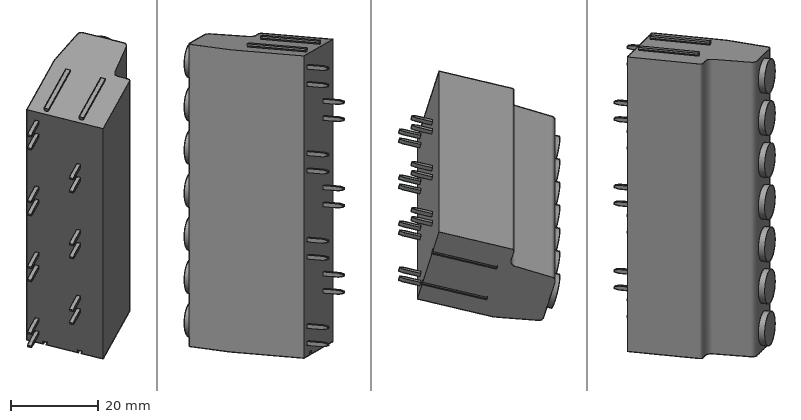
import cadquery as cq

module_count = 7
housing_width = 18.7
housing_depth = 29.25
housing_height = 71.1
module_pitch = housing_height / module_count

shoulder_y = 18.1
shelf_y = 18.0
top_left_x = 2.0
top_right_x = 13.8
step_x = 14.5
top_radius = 1.15
step_radius = 1.4
shelf_radius = 0.6

screw_diameter = 8.05
screw_height = 1.5
screw_x = 7.5

pin_size = 0.9
left_pin_length = 5.0
right_pin_length = 4.9
pin_tip_length = 1.1
pin_tip_height = 0.4
pin_spacing = 4.0
left_pin_x = 2.5
right_pin_x = 12.7

rib_height = 0.8
rib_width = 1.15
rib_neck_width = 0.6
rib_taper_height = 0.35
rib_start_y = 1.1
rib_end_y = 15.4
rib_xs = (4.4, 12.95)


def module_center_z(index):
    """Mid-height of one module, counted from the bottom."""
    return (index + 0.5) * module_pitch


def make_housing():
    outline = cq.Workplane("XY").polyline([
        (0, 0),
        (housing_width, 0),
        (housing_width, shelf_y),
        (step_x, shelf_y),
        (top_right_x, housing_depth),
        (top_left_x, housing_depth),
        (0, shoulder_y),
    ]).close()
    body = outline.extrude(housing_height)

    def round_corner(solid, x, y, radius):
        corner = cq.selectors.NearestToPointSelector((x, y, housing_height / 2))
        return solid.edges("|Z").edges(corner).fillet(radius)

    body = round_corner(body, top_left_x, housing_depth, top_radius)
    body = round_corner(body, top_right_x, housing_depth, top_radius)
    body = round_corner(body, step_x, shelf_y, step_radius)
    return round_corner(body, housing_width, shelf_y, shelf_radius)


def make_dovetail(x, base_z, start_y, end_y):
    """Dovetail bar along Y that widens upward from a narrow neck at base_z."""
    shoulder_z = base_z + rib_taper_height
    crest_z = base_z + rib_height
    profile = cq.Workplane("XZ", origin=(0, start_y, 0)).polyline([
        (x - rib_neck_width / 2, base_z),
        (x + rib_neck_width / 2, base_z),
        (x + rib_width / 2, shoulder_z),
        (x + rib_width / 2, crest_z),
        (x - rib_width / 2, crest_z),
        (x - rib_width / 2, shoulder_z),
    ]).close()
    return profile.extrude(start_y - end_y)


def make_screw_head(z):
    plane = cq.Workplane("XZ", origin=(screw_x, housing_depth, z))
    return plane.circle(screw_diameter / 2).extrude(-screw_height)


def make_pin(x, z, length):
    """Square pin pointing to -Y whose tip narrows in Z."""
    half = pin_size / 2
    tip_half = pin_tip_height / 2
    tip_start_y = pin_tip_length - length
    profile = cq.Workplane("YZ", origin=(x - half, 0, z)).polyline([
        (0, -half),
        (tip_start_y, -half),
        (-length, -tip_half),
        (-length, tip_half),
        (tip_start_y, half),
        (0, half),
    ]).close()
    return profile.extrude(pin_size)


result = make_housing()

for rib_x in rib_xs:
    result = result.union(make_dovetail(rib_x, housing_height, rib_start_y, rib_end_y))
    result = result.cut(make_dovetail(rib_x, 0, 0, rib_end_y))

for module in range(module_count):
    center_z = module_center_z(module)
    result = result.union(make_screw_head(center_z))
    if module % 2 == 0:
        pin_x, pin_length = left_pin_x, left_pin_length
    else:
        pin_x, pin_length = right_pin_x, right_pin_length
    for offset in (-pin_spacing / 2, pin_spacing / 2):
        result = result.union(make_pin(pin_x, center_z + offset, pin_length))